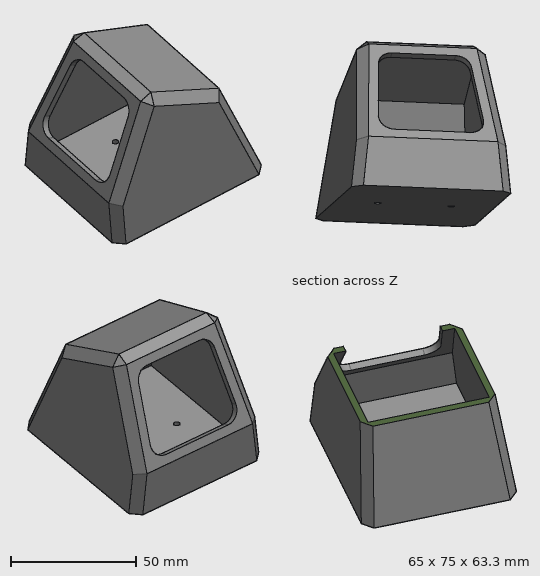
import cadquery as cq
import math

base_width = 65.0
base_depth = 75.0
front_height = 20.0
ridge_height = 65.0
front_angle = math.radians(65)
roof_angle = math.radians(25)
rear_angle = math.radians(70)
side_lean = math.radians(6)
chamfer_size = 4.0

wall = 3.0

window_margin = 4.0
window_radius = 6.0

hole_diameter = 2.5
hole_offset_x = 15.0
hole_y = 35.0


def side_profile(inset):
    """YZ outline of the body, with every side moved inward by inset."""
    front_y = inset
    bottom_z = inset

    slope_z = front_height - inset / math.cos(front_angle)
    rear_y = base_depth - inset / math.sin(rear_angle)

    ridge_y = (ridge_height - front_height) / math.tan(front_angle)
    roof_z = ridge_height + ridge_y * math.tan(roof_angle) - inset / math.cos(roof_angle)

    front_tan = math.tan(front_angle)
    roof_tan = math.tan(roof_angle)
    rear_tan = math.tan(rear_angle)
    top_y = (roof_z - slope_z) / (front_tan + roof_tan)
    shoulder_y = (rear_y * rear_tan - roof_z) / (rear_tan - roof_tan)
    return [
        (front_y, bottom_z),
        (front_y, slope_z + front_y * front_tan),
        (top_y, roof_z - top_y * roof_tan),
        (shoulder_y, roof_z - shoulder_y * roof_tan),
        (rear_y - bottom_z / rear_tan, bottom_z),
    ]


def half_width(z, inset=0.0):
    """Distance from the middle plane to a leaning side at height z."""
    return base_width / 2 - inset / math.cos(side_lean) - z * math.tan(side_lean)


def tapered_block(inset):
    """Side profile limited by the two leaning sides."""
    profile = (
        cq.Workplane("YZ")
        .polyline(side_profile(inset))
        .close()
        .extrude(base_width / 2, both=True)
    )
    bottom = half_width(0, inset)
    top = half_width(ridge_height, inset)
    sides = (
        cq.Workplane("XZ")
        .polyline([(-bottom, 0), (bottom, 0), (top, ridge_height), (-top, ridge_height)])
        .close()
        .extrude(-base_depth)
    )
    return profile.intersect(sides)


def chamfered_body():
    """Outer body: ridge and both side outlines chamfered, base left sharp."""
    ridge = cq.selectors.BoxSelector(
        (-base_width, 0, ridge_height - 0.75), (base_width, base_depth, ridge_height + 0.75)
    )
    block = tapered_block(0)
    side_edges = block.faces("<X or >X").edges("not(<Z)")
    return side_edges.add(block.edges(ridge)).chamfer(chamfer_size)


def window_cutter():
    """Rounded trapezoid cut square to the sloping front."""
    slope_length = (ridge_height - front_height) / math.sin(front_angle)
    low = window_margin
    high = slope_length - chamfer_size - window_margin
    edge_tilt = math.atan(math.tan(side_lean) * math.sin(front_angle))
    border = (chamfer_size + window_margin) / math.cos(edge_tilt)
    low_half = half_width(front_height + low * math.sin(front_angle)) - border
    high_half = half_width(front_height + high * math.sin(front_angle)) - border

    slope_plane = cq.Plane(
        origin=(0, 0, front_height),
        xDir=(1, 0, 0),
        normal=(0, -math.sin(front_angle), math.cos(front_angle)),
    )
    return (
        cq.Workplane(slope_plane)
        .polyline([(-low_half, low), (low_half, low), (high_half, high), (-high_half, high)])
        .close()
        .extrude(2 * wall, both=True)
        .edges("|(0, {}, {})".format(-math.sin(front_angle), math.cos(front_angle)))
        .fillet(window_radius)
    )


def floor_holes():
    """A pair of holes through the floor."""
    return (
        cq.Workplane("XY")
        .pushPoints([(-hole_offset_x, hole_y), (hole_offset_x, hole_y)])
        .circle(hole_diameter / 2)
        .extrude(2 * wall)
    )


result = chamfered_body().cut(tapered_block(wall)).cut(window_cutter()).cut(floor_holes())